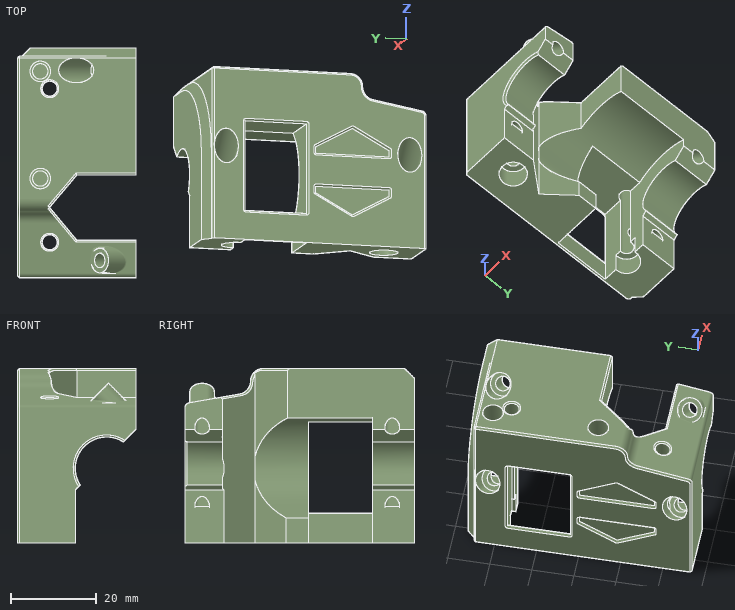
import cadquery as cq
import math

WIDTH = 27.75
LENGTH = 53.75
HEIGHT = 40.85
OVER = 5.0
EDGE = 0.45

COLLAR_HEIGHT = 1.9
COLLAR_LEFT = 1.1
COLLAR_RADIUS = 19.6
COLLAR_TAPER = 45.0
BODY_LENGTH = LENGTH - COLLAR_HEIGHT

STEP_Y = 15.35
STEP_RADIUS = 3.0
DECK_ANGLE = math.radians(10)
NOSE_RADIUS = 1.2

BORE_X = 20.85
BORE_Z = 17.5
BORE_RADIUS = 7.3
BORE_CHAMFER = 0.5
CAVITY_RADIUS = 13.65
JOINT_DROP = 1.15
FOOT_WIDTH = 13.6

NOTCH_APEX = (7.5, 16.45)
NOTCH_SHOULDER_X = 13.9
NOTCH_FRONT_Y = 8.8
NOTCH_REAR_Y = 24.0

SCREW_YS = (4.05, 48.5)
SCREW_SPREAD = 16.25
UPPER_SUM = BORE_X + BORE_Z + SCREW_SPREAD
LOWER_SUM = BORE_X + BORE_Z - SCREW_SPREAD
OUTSIDE = -HEIGHT
SCREW_DIAMETER = 3.4
HEAD_DIAMETER = 5.8
UPPER_SEAT = -16.1
LOWER_SEAT = -5.0
BOSS_FILLET = 0.4
BOSS_ROOT = -1.15
BOSS_ROOT_Z = 30.0

VERTICAL_X = 7.55
VERTICAL_YS = (8.3, 44.2)
VERTICAL_DIAMETER = 3.5
VERTICAL_CHAMFER = 0.35
VERTICAL_MOUTH_DROP = 8.0
VERTICAL_HEAD_DIAMETER = 6.6
VERTICAL_HEAD_DEPTH = 6.2

BLIND_X = 5.35
BLIND_YS = (23.2, 48.25)
BLIND_DIAMETER = 4.8
BLIND_DEPTH = 6.0
BLIND_TIP_DIAMETER = 3.6
BLIND_TIP_DEPTH = 2.0

RECESS_DEPTH = 0.5
RECESS_BEVEL = 0.495

WINDOW_Y0, WINDOW_Y1 = 28.95, 43.85
WINDOW_Z0, WINDOW_Z1 = 7.0, 28.3
WALL = 0.6
WINDOW_CORNER = 0.7

ARROW_Y = 17.85
ARROW_HALF_WIDTH = 9.4
ARROW_BASE = 3.45
ARROW_SHOULDER = 5.75
ARROW_TIP = 10.85
ARROW_CORNER = 0.6


def deck_height(y):
    """Height of the sloping deck plane at a given Y."""
    arc_y = STEP_Y - STEP_RADIUS
    arc_z = HEIGHT - STEP_RADIUS
    return arc_z - STEP_RADIUS / math.cos(DECK_ANGLE) + (y - arc_y) * math.tan(DECK_ANGLE)


def make_body():
    """Block with the stepped top, chamfered on its left and rear edges."""
    rear_arc_y = STEP_Y + STEP_RADIUS
    step_z = HEIGHT - STEP_RADIUS
    front_arc_y = STEP_Y - STEP_RADIUS
    diagonal = math.sqrt(0.5)
    rear_arc_mid = (rear_arc_y - STEP_RADIUS * diagonal, step_z + STEP_RADIUS * diagonal)
    deck_y = front_arc_y + STEP_RADIUS * math.sin(DECK_ANGLE)
    middle_angle = (math.pi / 2 - DECK_ANGLE) / 2
    front_arc_mid = (front_arc_y + STEP_RADIUS * math.cos(middle_angle),
                     step_z - STEP_RADIUS * math.sin(middle_angle))
    nose_z = deck_height(0)
    body = (
        cq.Workplane("YZ")
        .moveTo(0, 0)
        .lineTo(BODY_LENGTH, 0)
        .lineTo(BODY_LENGTH, HEIGHT)
        .lineTo(rear_arc_y, HEIGHT)
        .threePointArc(rear_arc_mid, (STEP_Y, step_z))
        .threePointArc(front_arc_mid, (deck_y, deck_height(deck_y)))
        .lineTo(0, nose_z)
        .close()
        .extrude(WIDTH)
    )
    nose = cq.selectors.NearestToPointSelector((WIDTH / 2, 0, nose_z))
    body = body.edges(nose).fillet(NOSE_RADIUS)
    rear_top = cq.selectors.NearestToPointSelector((WIDTH / 2, BODY_LENGTH, HEIGHT))
    bottom_left = cq.selectors.BoxSelector((-EDGE, -EDGE, -EDGE), (EDGE, LENGTH, EDGE))
    left_and_rear = cq.selectors.SumSelector(cq.StringSyntaxSelector("<X"), rear_top)
    return body.edges(left_and_rear - bottom_left).chamfer(EDGE)


def add_collar(body):
    """Sloping rear face whose upper left corner is one large arc."""
    top = HEIGHT - EDGE
    arc_x = COLLAR_LEFT + COLLAR_RADIUS
    arc_z = top - COLLAR_RADIUS
    reach = COLLAR_RADIUS * math.sqrt(0.5)
    collar = (
        cq.Workplane("XZ", origin=(0, BODY_LENGTH, 0))
        .moveTo(COLLAR_LEFT, -OVER)
        .lineTo(COLLAR_LEFT, arc_z)
        .threePointArc((arc_x - reach, arc_z + reach), (arc_x, top))
        .lineTo(WIDTH + OVER, top)
        .lineTo(WIDTH + OVER, -OVER)
        .close()
        .extrude(-COLLAR_HEIGHT, taper=COLLAR_TAPER)
    )
    limits = cq.Workplane("XY").box(WIDTH, LENGTH, HEIGHT, centered=False)
    return body.union(collar.intersect(limits))


def cut_clamp(body):
    """Clear everything beyond the joint face and the foot, then cut the bore."""
    beyond = (
        cq.Workplane("XZ")
        .moveTo(FOOT_WIDTH, -OVER)
        .lineTo(FOOT_WIDTH, FOOT_WIDTH - JOINT_DROP)
        .lineTo(WIDTH + OVER, WIDTH + OVER - JOINT_DROP)
        .lineTo(WIDTH + OVER, -OVER)
        .close()
        .extrude(-LENGTH)
    )
    bore = (
        cq.Workplane("XZ")
        .center(BORE_X, BORE_Z)
        .circle(BORE_RADIUS)
        .extrude(-LENGTH)
    )
    entry = cq.Workplane(cq.Solid.makeCone(
        BORE_RADIUS + BORE_CHAMFER, BORE_RADIUS, BORE_CHAMFER,
        cq.Vector(BORE_X, 0, BORE_Z), cq.Vector(0, 1, 0)))
    return body.cut(beyond).cut(bore).cut(entry)


def cut_notch(body):
    """V-ended notch with a chamfered rim that follows the stepped top."""
    notch = (
        cq.Workplane("XY")
        .moveTo(*NOTCH_APEX)
        .lineTo(NOTCH_SHOULDER_X, NOTCH_REAR_Y)
        .lineTo(WIDTH + OVER, NOTCH_REAR_Y)
        .lineTo(WIDTH + OVER, NOTCH_FRONT_Y)
        .lineTo(NOTCH_SHOULDER_X, NOTCH_FRONT_Y)
        .close()
        .extrude(HEIGHT)
    )
    body = body.cut(notch)
    apex_y = NOTCH_APEX[1]
    bevelled = body
    for low_y, high_y in ((NOTCH_FRONT_Y - EDGE, apex_y), (apex_y, NOTCH_REAR_Y + EDGE)):
        rim = cq.selectors.BoxSelector(
            (NOTCH_APEX[0] - EDGE, low_y, deck_height(0)),
            (WIDTH - EDGE, high_y, HEIGHT + EDGE))
        bevelled = bevelled.intersect(body.edges(rim).edges("not |Z").chamfer(EDGE))
    return bevelled


def cut_cavity(body):
    """Widen the bore between the notch and the far side of the window."""
    start = NOTCH_APEX[1]
    cavity = (
        cq.Workplane("XZ", origin=(BORE_X, start, BORE_Z))
        .circle(CAVITY_RADIUS)
        .extrude(start - WINDOW_Y1)
    )
    return body.cut(cavity)


def along_screw(sum_xz, difference_xz, y):
    """Point with the given X + Z and X - Z."""
    return cq.Vector((sum_xz + difference_xz) / 2, y, (sum_xz - difference_xz) / 2)


def screw_cylinder(diameter, sum_xz, start, end, y):
    """Cylinder square to the joint face between two X - Z values."""
    length = (end - start) * math.sqrt(0.5)
    return cq.Workplane(cq.Solid.makeCylinder(
        diameter / 2, length, along_screw(sum_xz, start, y), cq.Vector(1, 0, -1)))


def add_boss(body):
    """Head seat standing proud of the deck, around the front upper screw."""
    run = NOTCH_FRONT_Y + OVER
    deck = (
        cq.Workplane("YZ", origin=(FOOT_WIDTH, 0, 0))
        .moveTo(-OVER, deck_height(-OVER))
        .lineTo(run, deck_height(run))
        .lineTo(run, BOSS_ROOT_Z)
        .lineTo(-OVER, BOSS_ROOT_Z)
        .close()
        .extrude(WIDTH)
    )
    y = SCREW_YS[0]
    boss = screw_cylinder(HEAD_DIAMETER, UPPER_SUM, UPPER_SEAT, BOSS_ROOT, y)
    seat = along_screw(UPPER_SUM, UPPER_SEAT, y)
    foot = cq.selectors.BoxSelector(
        (seat.x - HEAD_DIAMETER, y - HEAD_DIAMETER, BOSS_ROOT_Z + EDGE),
        (WIDTH, y + HEAD_DIAMETER, seat.z - EDGE))
    rounded = deck.union(boss).edges(foot).fillet(BOSS_FILLET)
    nose_end = NOSE_RADIUS * (1 - math.sin(DECK_ANGLE))
    limits = (
        cq.Workplane("XY", origin=(FOOT_WIDTH, nose_end, BOSS_ROOT_Z))
        .box(WIDTH - FOOT_WIDTH, HEAD_DIAMETER + 2 * BOSS_FILLET, HEIGHT, centered=False)
    )
    return body.union(rounded.intersect(limits))


def cut_clamp_screws(body):
    """Shank holes with sunk head seats; the front upper seat is the top of the boss."""
    rear_y = SCREW_YS[1]
    body = body.cut(screw_cylinder(HEAD_DIAMETER, UPPER_SUM, OUTSIDE, UPPER_SEAT, rear_y))
    for y in SCREW_YS:
        body = body.cut(screw_cylinder(HEAD_DIAMETER, LOWER_SUM, OUTSIDE, LOWER_SEAT, y))
        for sum_xz in (UPPER_SUM, LOWER_SUM):
            body = body.cut(screw_cylinder(SCREW_DIAMETER, sum_xz, OUTSIDE, OVER, y))
    return body


def cylinder_z(diameter, x, y, bottom, top):
    """Upright cylinder between two heights."""
    return (
        cq.Workplane("XY", origin=(x, y, bottom))
        .circle(diameter / 2)
        .extrude(top - bottom)
    )


def cut_vertical_holes(body):
    """Through holes with a wide head recess at the bottom and a chamfered mouth."""
    radius = VERTICAL_DIAMETER / 2
    for y in VERTICAL_YS:
        shank = cylinder_z(VERTICAL_DIAMETER, VERTICAL_X, y, 0, HEIGHT)
        recess = cylinder_z(VERTICAL_HEAD_DIAMETER, VERTICAL_X, y, 0, VERTICAL_HEAD_DEPTH)
        mouth = cq.selectors.BoxSelector(
            (VERTICAL_X - radius, y - radius, HEIGHT - VERTICAL_MOUTH_DROP),
            (VERTICAL_X + radius, y + radius, HEIGHT + EDGE))
        body = body.cut(shank).cut(recess)
        body = body.edges(mouth).edges("not %LINE").chamfer(VERTICAL_CHAMFER)
    return body


def cut_blind_holes(body):
    """Blind holes in the top, each with a narrower tip."""
    step_z = HEIGHT - BLIND_DEPTH
    for y in BLIND_YS:
        body = body.cut(cylinder_z(BLIND_DIAMETER, BLIND_X, y, step_z, HEIGHT))
        body = body.cut(cylinder_z(BLIND_TIP_DIAMETER, BLIND_X, y, step_z - BLIND_TIP_DEPTH, step_z))
    return body


def cut_window(body):
    """Chamber open to the bottom and to +X, with a chamfered window through the left wall."""
    depth_y = WINDOW_Y1 - WINDOW_Y0
    chamber = (
        cq.Workplane("XY", origin=(WALL, WINDOW_Y0, 0))
        .box(WIDTH, depth_y, WINDOW_Z1, centered=False)
    )
    mouth = (
        cq.Workplane("YZ", origin=(0, (WINDOW_Y0 + WINDOW_Y1) / 2, (WINDOW_Z0 + WINDOW_Z1) / 2))
        .rect(depth_y + 2 * RECESS_DEPTH, WINDOW_Z1 - WINDOW_Z0 + 2 * RECESS_DEPTH)
        .extrude(RECESS_DEPTH)
        .edges("|X")
        .fillet(WINDOW_CORNER)
        .faces(">X")
        .edges()
        .chamfer(RECESS_BEVEL)
    )
    opening = (
        cq.Workplane("XY", origin=(0, WINDOW_Y0, WINDOW_Z0))
        .box(WIDTH, depth_y, WINDOW_Z1 - WINDOW_Z0, centered=False)
    )
    return body.cut(chamber).cut(mouth).cut(opening)


def cut_arrow(body, direction):
    """Shallow arrow recess with sloping walls; direction is +1 for up and -1 for down."""
    base, shoulder, tip = (
        BORE_Z + direction * rise for rise in (ARROW_BASE, ARROW_SHOULDER, ARROW_TIP)
    )
    arrow = (
        cq.Workplane("YZ")
        .moveTo(ARROW_Y - ARROW_HALF_WIDTH, base)
        .lineTo(ARROW_Y + ARROW_HALF_WIDTH, base)
        .lineTo(ARROW_Y + ARROW_HALF_WIDTH, shoulder)
        .lineTo(ARROW_Y, tip)
        .lineTo(ARROW_Y - ARROW_HALF_WIDTH, shoulder)
        .close()
        .extrude(RECESS_DEPTH)
        .edges("|X")
        .fillet(ARROW_CORNER)
        .faces(">X")
        .edges()
        .chamfer(RECESS_BEVEL)
    )
    return body.cut(arrow)


part = make_body()
part = add_collar(part)
part = cut_clamp(part)
part = cut_notch(part)
part = cut_cavity(part)
part = add_boss(part)
part = cut_clamp_screws(part)
part = cut_vertical_holes(part)
part = cut_blind_holes(part)
part = cut_window(part)
for arrow_direction in (1, -1):
    part = cut_arrow(part, arrow_direction)

result = part